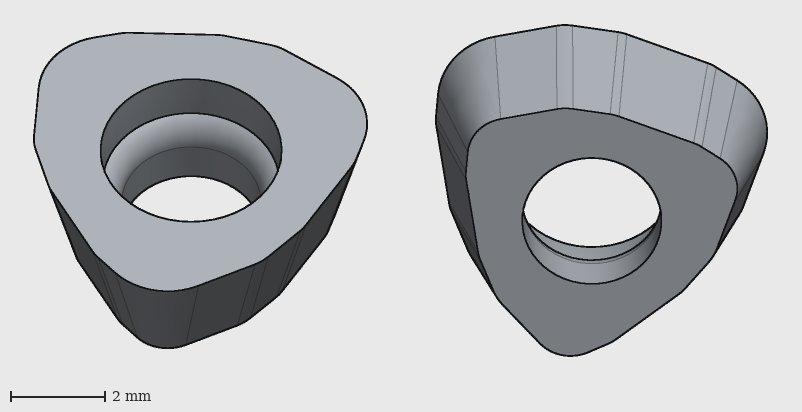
import cadquery as cq
import math

HEIGHT = 2.78
CLEARANCE_ANGLE = 12.9
SIDES = 3
SIDE_ANGLE = 360 / SIDES

FACETS = [(-32.6, 3.36), (-12.5, 3.175), (0, 3.13), (13.2, 3.395)]

BLEND_RADII = [0.99, 0.885, 0.885]
NOSE_RADIUS = 1.5

RECESS_TOP_RADIUS = 1.92
RECESS_BOTTOM_RADIUS = 1.875
RECESS_DEPTH = 1.11
BORE_RADIUS = 1.48
SEAT_WIDTH = RECESS_BOTTOM_RADIUS - BORE_RADIUS
SEAT_DEPTH = 0.65


def direction(angle):
    return cq.Vector(math.cos(math.radians(angle)), math.sin(math.radians(angle)), 0)


def facet_crossing(first, second):
    """Point where the straight lines of two facets meet."""
    (heading_1, distance_1), (heading_2, distance_2) = first, second
    turn = math.radians(heading_2 - heading_1)
    along = (distance_2 - distance_1 * math.cos(turn)) / math.sin(turn)
    return direction(heading_1 - 90) * distance_1 + direction(heading_1) * along


def outline(inset, z):
    """Closed outline with every facet moved inward and the nose radius reduced by the inset."""
    facets = []
    radii = []
    for side in range(SIDES):
        for heading, distance in FACETS:
            facets.append((heading + side * SIDE_ANGLE, distance - inset))
        radii += BLEND_RADII + [NOSE_RADIUS - inset]

    arcs = []
    for index, radius in enumerate(radii):
        facet = facets[index]
        following = facets[(index + 1) % len(facets)]
        heading = facet[0]
        turn = (following[0] - heading) % 360
        corner = facet_crossing(facet, following)
        tangent_length = radius * math.tan(math.radians(turn / 2))
        start = corner - direction(heading) * tangent_length
        center = start + direction(heading + 90) * radius
        middle = center + direction(heading + turn / 2 - 90) * radius
        end = center + direction(heading + turn - 90) * radius
        arcs.append((start, middle, end))

    height = cq.Vector(0, 0, z)
    edges = []
    previous_end = arcs[-1][2]
    for start, middle, end in arcs:
        edges.append(cq.Edge.makeLine(previous_end + height, start + height))
        edges.append(cq.Edge.makeThreePointArc(start + height, middle + height, end + height))
        previous_end = end
    return cq.Wire.assembleEdges(edges)


def insert_body():
    bottom_inset = HEIGHT * math.tan(math.radians(CLEARANCE_ANGLE))
    return cq.Workplane(cq.Solid.makeLoft([outline(bottom_inset, 0), outline(0, HEIGHT)], True))


def screw_hole():
    """Revolved hole whose convex seat runs tangentially into the bore."""
    recess_floor = HEIGHT - RECESS_DEPTH
    seat_end = recess_floor - SEAT_DEPTH
    seat_radius = (SEAT_WIDTH**2 + SEAT_DEPTH**2) / (2 * SEAT_WIDTH)
    half_sweep = math.asin(SEAT_DEPTH / seat_radius) / 2
    seat_middle = (
        BORE_RADIUS + seat_radius * (1 - math.cos(half_sweep)),
        seat_end + seat_radius * math.sin(half_sweep),
    )
    return (
        cq.Workplane("XZ")
        .lineTo(BORE_RADIUS, 0)
        .lineTo(BORE_RADIUS, seat_end)
        .threePointArc(seat_middle, (RECESS_BOTTOM_RADIUS, recess_floor))
        .lineTo(RECESS_TOP_RADIUS, HEIGHT)
        .lineTo(0, HEIGHT)
        .close()
        .revolve(360, (0, 0, 0), (0, 1, 0))
    )


result = insert_body().cut(screw_hole())